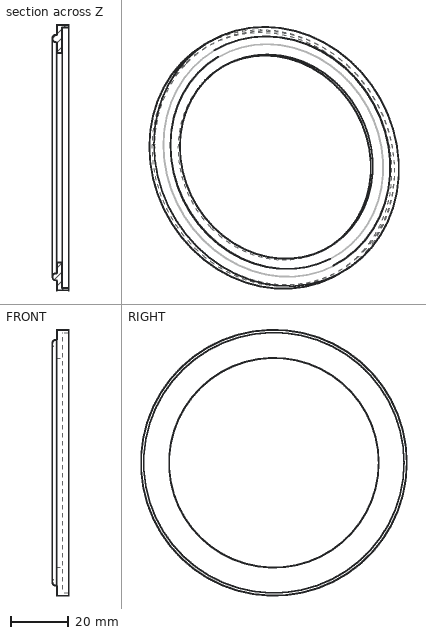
import cadquery as cq

outer_diameter = 93.0
bore_diameter = 73.2
ring_thickness = 4.2

web_thickness = 1.9
rim_width = 1.0

overall_thickness = 5.8
bead_mean_diameter = 83.4
bead_width = 2.6

bead_half_width = bead_width / 2
bead_wall_height = 0.4
bead_root_fillet = 0.15


def revolve_about_x(profile):
    """Turn a closed XY profile a full revolution about the X axis."""
    return profile.revolve(360, (0, 0, 0), (1, 0, 0))


def make_ring():
    """Web with the rim turned back towards +X along its outer edge."""
    bore_radius = bore_diameter / 2
    outer_radius = outer_diameter / 2
    recess_radius = outer_radius - rim_width
    web_back_x = web_thickness - ring_thickness
    profile = (
        cq.Workplane("XY")
        .moveTo(-ring_thickness, bore_radius)
        .lineTo(-ring_thickness, outer_radius)
        .lineTo(0, outer_radius)
        .lineTo(0, recess_radius)
        .lineTo(web_back_x, recess_radius)
        .lineTo(web_back_x, bore_radius)
        .close()
    )
    return revolve_about_x(profile)


def make_bead():
    """Filleted root, short straight walls and an arc cap, with its base sunk into the web."""
    mean_radius = bead_mean_diameter / 2
    inner_radius = mean_radius - bead_half_width
    outer_radius = mean_radius + bead_half_width
    base_x = -ring_thickness + web_thickness / 2
    face_x = -ring_thickness
    fillet_end_x = face_x - bead_root_fillet
    wall_end_x = face_x - bead_wall_height
    profile = (
        cq.Workplane("XY")
        .moveTo(base_x, inner_radius - bead_root_fillet)
        .lineTo(base_x, outer_radius + bead_root_fillet)
        .lineTo(face_x, outer_radius + bead_root_fillet)
        .radiusArc((fillet_end_x, outer_radius), bead_root_fillet)
        .lineTo(wall_end_x, outer_radius)
        .threePointArc((-overall_thickness, mean_radius), (wall_end_x, inner_radius))
        .lineTo(fillet_end_x, inner_radius)
        .radiusArc((face_x, inner_radius - bead_root_fillet), bead_root_fillet)
        .close()
    )
    return revolve_about_x(profile)


result = make_ring().union(make_bead())